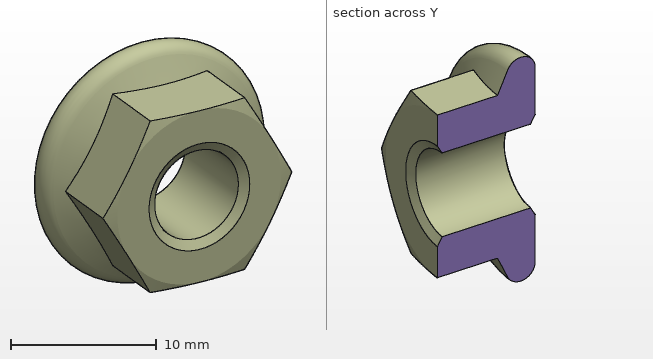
import cadquery as cq
import math

height = 8.0
flange_diameter = 17.9
rim_radius = 1.2
flange_slope = math.radians(25)
hex_sides = 6
across_flats = 13.0
hex_chamfer_angle = math.radians(15)
bore_diameter = 6.65
countersink_diameter = 8.0
countersink_angle = math.radians(60)

across_corners = across_flats / math.cos(math.pi / hex_sides)


def revolve_about_x(profile):
    """Revolve a closed (X, radius) profile drawn in the XY plane around the X axis."""
    return profile.close().revolve(360, (0, 0, 0), (1, 0, 0))


def make_flange():
    """Disc with a rounded rim that runs tangentially into a cone towards the hexagon."""
    rim_center = flange_diameter / 2 - rim_radius
    cone_start_x = rim_radius * (1 + math.cos(flange_slope))
    cone_start_radius = rim_center + rim_radius * math.sin(flange_slope)
    cone_end_radius = bore_diameter / 2
    cone_end_x = cone_start_x + (cone_start_radius - cone_end_radius) * math.tan(flange_slope)
    profile = (
        cq.Workplane("XY")
        .lineTo(0, rim_center)
        .threePointArc((rim_radius, flange_diameter / 2), (cone_start_x, cone_start_radius))
        .lineTo(cone_end_x, cone_end_radius)
        .lineTo(cone_end_x, 0)
    )
    return revolve_about_x(profile)


def make_hexagon():
    """Hexagonal prism with corners on +Y and -Y, its outer end trimmed by a chamfer cone."""
    prism = cq.Workplane("YZ").polygon(hex_sides, across_corners).extrude(height)
    flat_radius = across_flats / 2
    corner_radius = across_corners / 2
    chamfer_depth = (corner_radius - flat_radius) * math.tan(hex_chamfer_angle)
    envelope = (
        cq.Workplane("XY")
        .lineTo(0, corner_radius)
        .lineTo(height - chamfer_depth, corner_radius)
        .lineTo(height, flat_radius)
        .lineTo(height, 0)
    )
    return prism.intersect(revolve_about_x(envelope))


def make_bore():
    """Through bore with a countersink at each end."""
    bore_radius = bore_diameter / 2
    countersink_radius = countersink_diameter / 2
    countersink_depth = (countersink_radius - bore_radius) / math.tan(countersink_angle)
    profile = (
        cq.Workplane("XY")
        .lineTo(0, countersink_radius)
        .lineTo(countersink_depth, bore_radius)
        .lineTo(height - countersink_depth, bore_radius)
        .lineTo(height, countersink_radius)
        .lineTo(height, 0)
    )
    return revolve_about_x(profile)


result = make_flange().union(make_hexagon()).cut(make_bore())